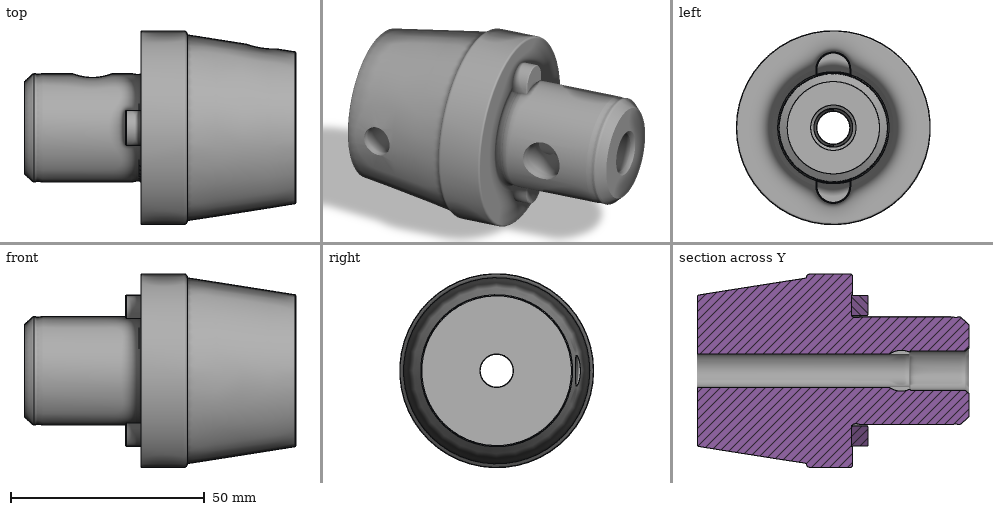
import cadquery as cq
import math


shank_length = 30.0
shank_radius = 14.0
relief_radius = 13.82
undercut_radius = 13.75
tip_radius = 11.9
tip_chamfer_length = 2.0
tip_chamfer_radius = 13.75
land_start = -27.6
land_end = -27.4
groove_start = -26.77
groove_end = -26.55
bearing_start = -25.26
bearing_end = -2.43
relief_start = -1.36
undercut_start = -1.14

flange_radius = 25.0
flange_length = 12.0
front_fillet = 0.5
back_fillet = 1.0
recess_radius = 15.65
recess_angle = math.radians(10)
root_fillet = 0.75
root_fillet_top = undercut_radius + root_fillet * (1 - math.sin(recess_angle))
recess_depth = (recess_radius - root_fillet_top) * math.tan(recess_angle)

nose_end = 40.0
collar_length = 0.7
nose_base_radius = 23.85
nose_tip_radius = 19.6
nose_tip_chamfer = 0.3

bore_radius = 4.25
counterbore_radius = 5.0
counterbore_depth = 15.0
bore_chamfer_radius = 5.85
bore_chamfer_depth = 1.0
drill_point_half_angle = math.radians(59)

clamp_hole_x = -12.5
clamp_hole_radius = 5.2
screw_hole_x = 31.0
screw_hole_radius = 3.9

key_count = 2
key_radius = 4.5
key_center_radius = 15.0
key_projection = 4.0
key_bottom_radius = 14.2
key_chamfer = 0.25


def make_holder_blank():
    """Shank, flange and nose revolved about X."""
    back_center_x = flange_length - back_fillet
    back_center_r = flange_radius - back_fillet
    diagonal = math.sqrt(0.5)
    front_center_r = flange_radius - front_fillet
    root_center_x = recess_depth - root_fillet * math.cos(recess_angle)
    root_center_r = undercut_radius + root_fillet
    root_mid_angle = (math.pi / 2 - recess_angle) / 2
    root_mid = (
        root_center_x + root_fillet * math.sin(root_mid_angle),
        root_center_r - root_fillet * math.cos(root_mid_angle),
    )
    profile = (
        cq.Workplane("XY")
        .moveTo(-shank_length, 0)
        .lineTo(-shank_length, tip_radius)
        .lineTo(-shank_length + tip_chamfer_length, tip_chamfer_radius)
        .lineTo(land_start, shank_radius)
        .lineTo(land_end, shank_radius)
        .lineTo(groove_start, relief_radius)
        .lineTo(groove_end, relief_radius)
        .lineTo(bearing_start, shank_radius)
        .lineTo(bearing_end, shank_radius)
        .lineTo(relief_start, relief_radius)
        .lineTo(undercut_start, undercut_radius)
        .lineTo(root_center_x, undercut_radius)
        .threePointArc(root_mid, (recess_depth, root_fillet_top))
        .lineTo(0, recess_radius)
        .lineTo(0, front_center_r)
        .threePointArc(
            (front_fillet * (1 - diagonal), front_center_r + front_fillet * diagonal),
            (front_fillet, flange_radius),
        )
        .lineTo(back_center_x, flange_radius)
        .threePointArc(
            (back_center_x + back_fillet * diagonal, back_center_r + back_fillet * diagonal),
            (flange_length, back_center_r),
        )
        .lineTo(flange_length + collar_length, nose_base_radius)
        .lineTo(nose_end - nose_tip_chamfer, nose_tip_radius)
        .lineTo(nose_end, nose_tip_radius - nose_tip_chamfer)
        .lineTo(nose_end, 0)
        .close()
    )
    return profile.revolve(360, (0, 0, 0), (1, 0, 0))


def make_bore():
    """Chamfered counterbore with a drill-point floor leading into the through bore."""
    drill_point_length = (counterbore_radius - bore_radius) / math.tan(drill_point_half_angle)
    floor_start = -shank_length + counterbore_depth
    return (
        cq.Workplane("XY")
        .moveTo(-shank_length, 0)
        .lineTo(-shank_length, bore_chamfer_radius)
        .lineTo(-shank_length + bore_chamfer_depth, counterbore_radius)
        .lineTo(floor_start, counterbore_radius)
        .lineTo(floor_start + drill_point_length, bore_radius)
        .lineTo(nose_end, bore_radius)
        .lineTo(nose_end, 0)
        .close()
        .revolve(360, (0, 0, 0), (1, 0, 0))
    )


def make_side_hole(x, radius):
    """Radial cutter from the axis out through the +Y side."""
    return cq.Workplane("XZ").center(x, 0).circle(radius).extrude(-flange_radius)


def make_key(angle):
    """Round-ended drive key with a concave underside, turned about X by the angle."""
    blank = (
        cq.Workplane("YZ", origin=(-key_projection, 0, 0))
        .moveTo(-key_radius, 0)
        .lineTo(-key_radius, key_center_radius)
        .threePointArc((0, key_center_radius + key_radius), (key_radius, key_center_radius))
        .lineTo(key_radius, 0)
        .close()
        .extrude(key_projection + recess_depth)
    )
    clearance = cq.Workplane("YZ", origin=(-key_projection, 0, 0)).circle(key_bottom_radius)
    blank = blank.cut(clearance.extrude(key_projection + recess_depth))
    blank = blank.faces("<X").chamfer(key_chamfer)
    return blank.rotate((0, 0, 0), (1, 0, 0), angle)


keys = [make_key(i * 360 / key_count) for i in range(key_count)]

holder = make_holder_blank().cut(make_bore())
holder = holder.cut(make_side_hole(clamp_hole_x, clamp_hole_radius))
holder = holder.cut(make_side_hole(screw_hole_x, screw_hole_radius))
for key in keys:
    holder = holder.cut(key)

result = cq.Compound.makeCompound([holder.val()] + [key.val() for key in keys])